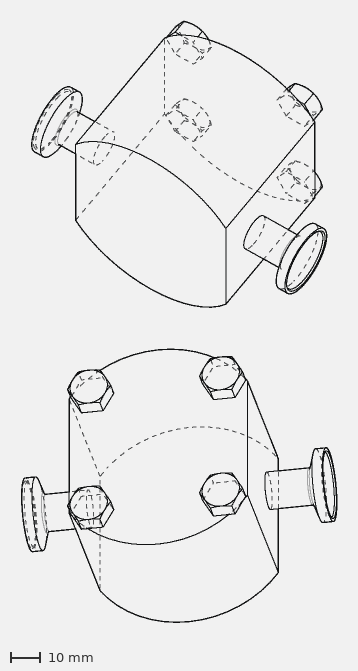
import cadquery as cq
import math

OVERALL_LENGTH = 103.17
OVERALL_DEPTH = 59.05

HOUSING_DIAMETER = 75.58
HOUSING_WIDTH = 61.2
BODY_DEPTH = 34.0
COVER_DEPTH = 19.05
HOUSING_DEPTH = BODY_DEPTH + COVER_DEPTH

BOLT_CIRCLE_DIAMETER = 64.0
BOLT_COUNT = 4
FIRST_BOLT_ANGLE = 45.0
HEX_SIDES = 6
HEX_ACROSS_FLATS = 12.8
HEX_ACROSS_CORNERS = HEX_ACROSS_FLATS / math.cos(math.pi / HEX_SIDES)
HEAD_HEIGHT = OVERALL_DEPTH - HOUSING_DEPTH
HEAD_BEVEL_ANGLE = 30.0

PORT_Y = BODY_DEPTH / 2
PORT_END_X = OVERALL_LENGTH / 2
TUBE_RADIUS = 12.7 / 2
FLANGE_RADIUS = 25.0 / 2
FLANGE_RIM = 3.6
FLANGE_TAPER_ANGLE = 20.0
NECK_FILLET = 0.8
RECESS_RIM_RADIUS = 11.45
RECESS_FLOOR_RADIUS = 11.0
RECESS_DEPTH = 0.6


def make_housing():
    """Round block from y = 0 to the cover's back face, cut to width by two flats."""
    cylinder = cq.Workplane("XZ").circle(HOUSING_DIAMETER / 2).extrude(-HOUSING_DEPTH)
    flats = cq.Workplane("XZ").rect(HOUSING_WIDTH, HOUSING_DIAMETER).extrude(-HOUSING_DEPTH)
    return cylinder.intersect(flats)


def make_bolt_head():
    """Hex head along Y at the origin of X and Z, with its outer corners bevelled."""
    hexagon = (
        cq.Workplane("XZ", origin=(0, HOUSING_DEPTH, 0))
        .polygon(HEX_SIDES, HEX_ACROSS_CORNERS)
        .extrude(-HEAD_HEIGHT)
    )
    top_radius = HEX_ACROSS_FLATS / 2
    corner_radius = HEX_ACROSS_CORNERS / 2
    bevel_drop = (corner_radius - top_radius) * math.tan(math.radians(HEAD_BEVEL_ANGLE))
    bevel = (
        cq.Workplane("XY")
        .moveTo(0, HOUSING_DEPTH)
        .lineTo(corner_radius, HOUSING_DEPTH)
        .lineTo(corner_radius, OVERALL_DEPTH - bevel_drop)
        .lineTo(top_radius, OVERALL_DEPTH)
        .lineTo(0, OVERALL_DEPTH)
        .close()
        .revolve(360, (0, 0, 0), (0, 1, 0))
    )
    return hexagon.intersect(bevel)


def make_port():
    """Port on the +X side, revolved about the X axis and moved to the middle of the body."""
    taper = math.radians(FLANGE_TAPER_ANGLE)
    rim_back_x = PORT_END_X - FLANGE_RIM
    neck_x = rim_back_x - (FLANGE_RADIUS - TUBE_RADIUS) * math.tan(taper)

    turn = math.pi / 2 - taper
    tangent_length = NECK_FILLET * math.tan(turn / 2)
    fillet_start_x = neck_x - tangent_length
    fillet_mid = (
        fillet_start_x + NECK_FILLET * math.sin(turn / 2),
        TUBE_RADIUS + NECK_FILLET * (1 - math.cos(turn / 2)),
    )
    fillet_end = (
        fillet_start_x + NECK_FILLET * math.sin(turn),
        TUBE_RADIUS + NECK_FILLET * (1 - math.cos(turn)),
    )
    recess_floor_x = PORT_END_X - RECESS_DEPTH

    return (
        cq.Workplane("XY")
        .moveTo(0, 0)
        .lineTo(0, TUBE_RADIUS)
        .lineTo(fillet_start_x, TUBE_RADIUS)
        .threePointArc(fillet_mid, fillet_end)
        .lineTo(rim_back_x, FLANGE_RADIUS)
        .lineTo(PORT_END_X, FLANGE_RADIUS)
        .lineTo(PORT_END_X, RECESS_RIM_RADIUS)
        .lineTo(recess_floor_x, RECESS_FLOOR_RADIUS)
        .lineTo(recess_floor_x, 0)
        .close()
        .revolve(360, (0, 0, 0), (1, 0, 0))
        .translate((0, PORT_Y, 0))
    )


def add_bolt_heads(part):
    """Spread the bolt heads over the bolt circle, all with corners pointing along X."""
    head = make_bolt_head()
    radius = BOLT_CIRCLE_DIAMETER / 2
    for index in range(BOLT_COUNT):
        angle = math.radians(FIRST_BOLT_ANGLE + index * 360 / BOLT_COUNT)
        part = part.union(head.translate((radius * math.cos(angle), 0, radius * math.sin(angle))))
    return part


def add_ports(part):
    """Join the port and its mirror image to the two flats."""
    port = make_port()
    return part.union(port).union(port.mirror("YZ"))


result = add_ports(add_bolt_heads(make_housing()))